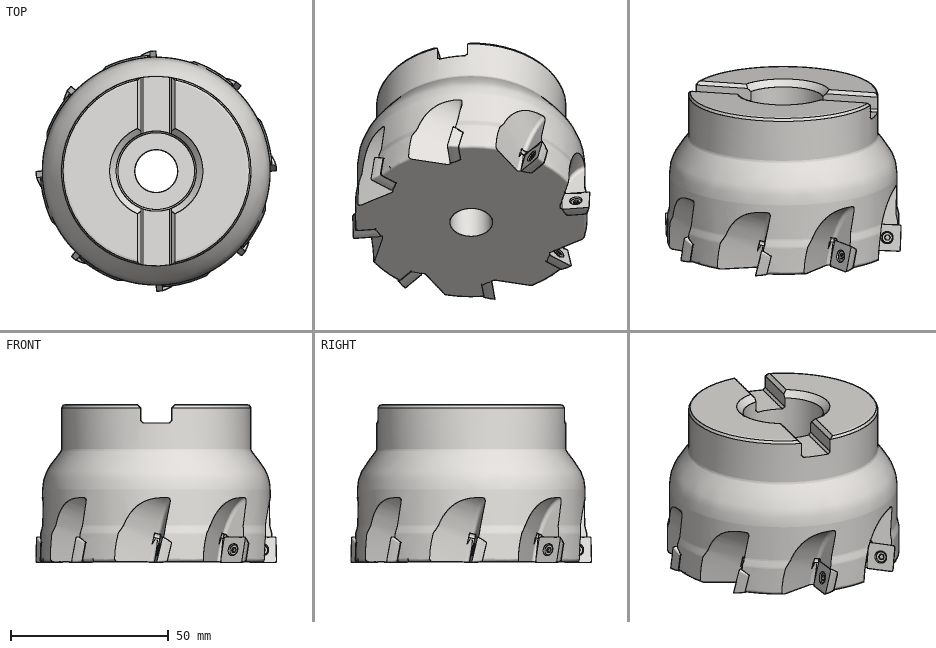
import cadquery as cq
import math

total_height = 50.01
tooth_count = 8
tooth_pitch = 360 / tooth_count

body_bottom = 0.25
hub_radius = 60 / 2
hub_base = 35.55
hub_root_fillet = 1.2
rim_base = 49.0
rim_break = 0.5
rim_crown = 0.15
rim_crown_width = 0.7
belly_radius = 72.2 / 2
shoulder_base = 23.0
shoulder_mid_radius = 34.65
shoulder_mid_height = 29.0
band_radius = 36.7
band_top = 9.25
band_cone_top = 11.6
band_fillet = 2.0
bottom_fillet = 1.0

bore_radius = 25.41 / 2
bore_depth = 18.5
bore_mouth_chamfer = 2.05
bore_floor_chamfer = 0.55
screw_hole_radius = 13.5 / 2
slot_width = 9.75
slot_depth = 5.8
slot_floor_chamfer = 0.75
slot_mouth_chamfer = 1.1

floor_angle = 25.0
floor_distance = 25.45
gullet_curve_depth = 10.5
gullet_base = -5.3
gullet_top = 18.2
gullet_fillet = 1.0
gullet_overrun = 5.0
wall_axial_rake = 11.3
wall_radial_rake = 10.0
wall_point = (36.5, 2.5, 9.0)

tip_radius = 38.115
insert_width = 8.75
insert_height = 8.4
insert_corner = 0.6
insert_axial_rake = 13.5
insert_radial_rake = 5.0
primary_land = 1.5
primary_clearance = 15.0
secondary_clearance = 20.0
insert_thickness = 3.3
insert_tip_offset = 0.1
countersink_radius = 3.9 / 2
countersink_depth = 0.4
countersink_half_angle = 40.0
socket_diameter = 1.8
socket_depth = 1.1
corner_relief_radius = 0.75
seat_opening = 2.0

reach = 2 * band_radius


def raked_plane(origin, axial_rake, radial_rake):
    """Plane of a raked face: X points outward, Y upward, and the normal points ahead of the tooth."""
    outward = math.tan(math.radians(radial_rake))
    upward = math.tan(math.radians(axial_rake))
    return cq.Plane(origin=origin, xDir=(1, outward, 0), normal=(outward, -1, upward))


wall_plane = raked_plane(wall_point, wall_axial_rake, wall_radial_rake)
insert_plane = raked_plane((tip_radius, insert_tip_offset, 0), insert_axial_rake, insert_radial_rake)


def around_teeth(shape):
    """Copies of a shape, one for every tooth."""
    return [shape.rotate((0, 0, 0), (0, 0, 1), i * tooth_pitch) for i in range(tooth_count)]


def make_blank():
    """Turned body: banded skirt, belly, domed shoulder and hub."""
    blank = (
        cq.Workplane("XZ")
        .moveTo(0, body_bottom)
        .lineTo(band_radius, body_bottom)
        .lineTo(band_radius, band_top)
        .lineTo(belly_radius, band_cone_top)
        .lineTo(belly_radius, shoulder_base)
        .spline(
            [(shoulder_mid_radius, shoulder_mid_height), (hub_radius, hub_base)],
            tangents=[(0, 1), (hub_radius - shoulder_mid_radius, hub_base - shoulder_mid_height)],
            includeCurrent=True,
        )
        .lineTo(hub_radius, rim_base)
        .lineTo(hub_radius - rim_break, total_height - rim_crown)
        .lineTo(hub_radius - rim_break - rim_crown_width, total_height)
        .lineTo(0, total_height)
        .close()
        .revolve(360, (0, 0, 0), (0, 1, 0))
    )

    def ring(radius, z):
        margin = 0.05
        half = radius + margin
        low = (-half, -half, z - margin)
        high = (half, half, z + margin)
        return cq.selectors.BoxSelector(low, high, boundingbox=True)

    blank = blank.edges(ring(hub_radius, hub_base)).fillet(hub_root_fillet)
    blank = blank.edges(ring(belly_radius, band_cone_top)).fillet(band_fillet)
    blank = blank.edges(ring(band_radius, band_top)).fillet(band_fillet)
    return blank.edges(ring(band_radius, body_bottom)).fillet(bottom_fillet)


def make_bore():
    """Stepped bore: chamfered mouth, arbor bore, chamfered floor and screw hole."""
    floor_z = total_height - bore_depth
    return (
        cq.Workplane("XZ")
        .moveTo(0, 0)
        .lineTo(screw_hole_radius, 0)
        .lineTo(screw_hole_radius, floor_z)
        .lineTo(bore_radius - bore_floor_chamfer, floor_z)
        .lineTo(bore_radius, floor_z + bore_floor_chamfer)
        .lineTo(bore_radius, total_height - bore_mouth_chamfer)
        .lineTo(bore_radius + bore_mouth_chamfer, total_height)
        .lineTo(0, total_height)
        .close()
        .revolve(360, (0, 0, 0), (0, 1, 0))
    )


def make_drive_slot():
    """Slot along Y with chamfered floor corners and flared mouth."""
    half = slot_width / 2
    floor_z = total_height - slot_depth
    right_side = [
        (half - slot_floor_chamfer, floor_z),
        (half, floor_z + slot_floor_chamfer),
        (half, total_height - slot_mouth_chamfer),
        (half + slot_mouth_chamfer, total_height),
    ]
    left_side = [(-x, z) for x, z in reversed(right_side)]
    return cq.Workplane("XZ").polyline(right_side + left_side).close().extrude(reach, both=True)


def make_gullet():
    """Chip space: a sloping floor that curves out to the belly, ended by the raked wall."""
    slope = math.radians(floor_angle)
    profile_plane = cq.Plane(
        origin=(0, 0, 0),
        xDir=(math.cos(slope), math.sin(slope), 0),
        normal=(math.sin(slope), -math.cos(slope), math.tan(math.radians(wall_axial_rake))),
    )
    space = (
        cq.Workplane(profile_plane)
        .moveTo(floor_distance, gullet_base - gullet_overrun)
        .lineTo(floor_distance, gullet_base)
        .ellipseArc(gullet_curve_depth, gullet_top - gullet_base, 90, 180, sense=-1)
        .lineTo(reach, gullet_top)
        .lineTo(reach, gullet_base - gullet_overrun)
        .close()
        .extrude(reach / 2, both=True)
    )
    ahead_of_wall = cq.Workplane(wall_plane).rect(4 * reach, 4 * reach).extrude(reach)
    space = space.intersect(ahead_of_wall)
    wall = space.faces(cq.selectors.DirectionSelector(-wall_plane.zDir))
    return wall.edges(cq.selectors.NearestToPointSelector((floor_distance, 0, 0))).fillet(gullet_fillet)


def insert_face():
    """Workplane on the rake face, centered on the insert."""
    return cq.Workplane(insert_plane).center(-insert_width / 2, insert_height / 2)


def make_insert_taper(clearance, oversize):
    """Square with rounded corners, narrowing behind the rake face and larger there by the oversize."""
    across_faces = cq.selectors.PerpendicularDirSelector(insert_plane.zDir)
    return (
        insert_face()
        .rect(insert_width + oversize, insert_height + oversize)
        .extrude(-insert_thickness, taper=clearance)
        .edges(cq.selectors.InverseSelector(across_faces))
        .fillet(insert_corner)
    )


def make_insert_blank():
    """Insert without its screw recess: the clearance increases behind the primary land."""
    slope_gain = math.tan(math.radians(secondary_clearance)) - math.tan(math.radians(primary_clearance))
    primary = make_insert_taper(primary_clearance, 0)
    secondary = make_insert_taper(secondary_clearance, 2 * primary_land * slope_gain)
    return primary.intersect(secondary)


def make_insert():
    """Insert with a countersunk screw head and its hexagonal socket."""
    mouth = insert_face().circle(countersink_radius)
    countersink = mouth.extrude(-countersink_depth, taper=countersink_half_angle)
    socket = insert_face().polygon(6, socket_diameter).extrude(-socket_depth)
    return make_insert_blank().cut(countersink).cut(socket)


def make_seat():
    """Recess for one insert, open ahead of its rake face, with a relieved inner top corner."""
    opening = insert_face().rect(insert_width, insert_height).extrude(seat_opening)
    relief = (
        cq.Workplane(insert_plane)
        .center(-insert_width + insert_corner / 2, insert_height)
        .circle(corner_relief_radius)
        .extrude(seat_opening)
    )
    return make_insert_blank().union(opening).union(relief)


cutter_body = make_blank().cut(make_bore()).cut(make_drive_slot())
gullet = make_gullet()
seat = make_seat()
for cutter in around_teeth(gullet) + around_teeth(seat):
    cutter_body = cutter_body.cut(cutter)

inserts = around_teeth(make_insert())

result = cq.Compound.makeCompound([cutter_body.val()] + [insert.val() for insert in inserts])